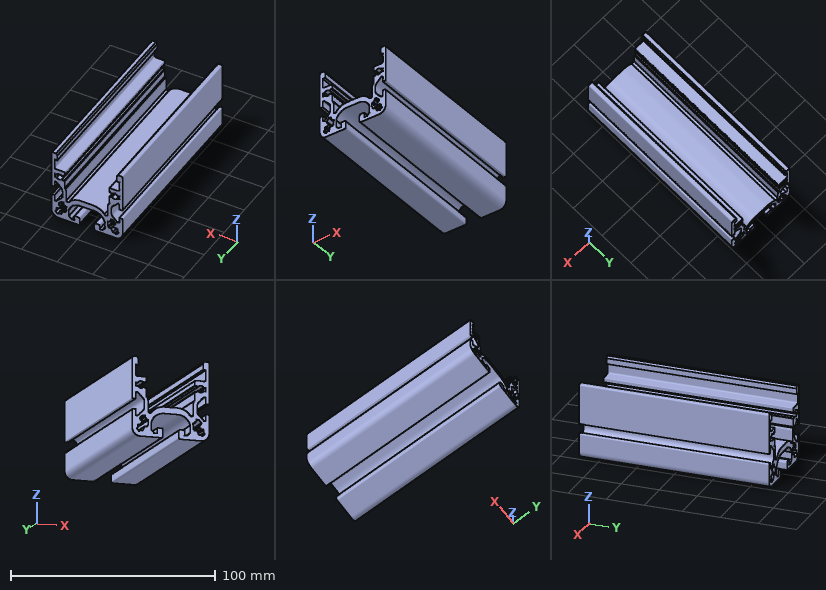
import cadquery as cq
import math

width = 40.0
height = 40.0
length = 100.0
half_width = width / 2
wall = 1.8

web_top = 15.6
web_bottom = 12.3
crown_half_width = 3.5
arch_x = half_width - crown_half_width
upper_arch_radius = 8.3
lower_arch_radius = 6.9
valley_depth = 12.0
valley_side = 12.6
channel_wall = 8.4

lip_depth = 3.3
lip_bevel_width = 0.6
lip_bevel_height = 1.2
lip_bottom = 35.8
shelf_top = 30.1
shelf_end = 7.5
step_top = 20.1
step_bottom = 18.4
step_knee = (8.0, 19.7)

screw_z = 26.0
screw_x = 4.5
screw_radius = 1.7
screw_slit_half = 0.9
throat_x = 6.0
throat_half = 1.0
mouth_half = 1.6
mouth_x = 7.0

side_slot_z = 16.1
side_mouth_half = 2.6
side_slot_half = 6.0
side_slot_depth = 6.3
side_floor_half = 2.4
side_floor_radius = 2.8

base_slot_side = 9.9
base_floor = 2.1
base_bevel = 1.5
base_lip_back = 12.9
base_lip_front = 15.9
base_lip_top = 4.8

base_radius = 4.0
lip_radius = 0.9
shelf_root_radius = 1.0
shelf_radius = 0.4
side_mouth_lower_radius = 0.6
side_mouth_upper_radius = 0.3
side_slot_radius = 0.7
base_lip_back_radius = 0.4


def prism(section):
    """Extrude a closed XZ section along the whole length, centred on Y."""
    return section.extrude(length / 2, both=True)


def polygon(points):
    return prism(cq.Workplane("XZ").polyline(points).close())


def arch_height(x, top, radius):
    """Height at x of an arch that meets the flat crown tangentially."""
    return top - radius + math.sqrt(radius**2 - (arch_x - x) ** 2)


def arch_reach(z, top, radius):
    """Left-hand x of an arch at height z."""
    return arch_x - math.sqrt(radius**2 - (z - top + radius) ** 2)


def round_corner(body, x, z, radius):
    """Round the lengthwise edge at section position (x, z)."""
    return body.edges("|Y").edges(cq.NearestToPointSelector((x, 0, z))).fillet(radius)


def half_body():
    arch_foot = arch_reach(valley_side, web_top, upper_arch_radius)
    arch_middle = (arch_foot + arch_x) / 2
    return prism(
        cq.Workplane("XZ")
        .moveTo(0, 0)
        .lineTo(half_width, 0)
        .lineTo(half_width, web_top)
        .lineTo(arch_x, web_top)
        .threePointArc(
            (arch_middle, arch_height(arch_middle, web_top, upper_arch_radius)),
            (arch_foot, valley_side),
        )
        .threePointArc(
            ((channel_wall + arch_foot) / 2, valley_depth),
            (channel_wall, valley_side),
        )
        .lineTo(channel_wall, step_bottom)
        .lineTo(*step_knee)
        .lineTo(shelf_end, step_top)
        .lineTo(shelf_end, shelf_top)
        .lineTo(wall, shelf_top)
        .lineTo(wall, lip_bottom)
        .lineTo(lip_depth, lip_bottom)
        .lineTo(lip_depth, height - lip_bevel_height)
        .lineTo(lip_depth - lip_bevel_width, height)
        .lineTo(0, height)
        .close()
    )


def base_slot():
    arch_end_z = arch_height(base_slot_side, web_bottom, lower_arch_radius)
    arch_middle = (base_slot_side + arch_x) / 2
    return prism(
        cq.Workplane("XZ")
        .moveTo(half_width, 0)
        .lineTo(half_width, web_bottom)
        .lineTo(arch_x, web_bottom)
        .threePointArc(
            (arch_middle, arch_height(arch_middle, web_bottom, lower_arch_radius)),
            (base_slot_side, arch_end_z),
        )
        .lineTo(base_slot_side, base_floor + base_bevel)
        .lineTo(base_slot_side + base_bevel, base_floor)
        .lineTo(base_lip_back, base_floor)
        .lineTo(base_lip_back, base_lip_top)
        .lineTo(base_lip_front, base_lip_top)
        .lineTo(base_lip_front, 0)
        .close()
    )


def side_slot():
    foot = side_slot_depth - (side_slot_half - side_floor_half)
    upper = [
        (0, side_mouth_half),
        (wall, side_mouth_half),
        (wall, side_slot_half),
        (foot, side_slot_half),
        (side_slot_depth, side_floor_half),
    ]
    lower = [(x, -z) for x, z in reversed(upper)]
    slot = polygon([(x, side_slot_z + z) for x, z in upper + lower])
    for side in (1, -1):
        slot = round_corner(slot, wall, side_slot_z + side * side_slot_half, side_slot_radius)
        slot = round_corner(
            slot, side_slot_depth, side_slot_z + side * side_floor_half, side_floor_radius
        )
    return slot


def screw_channel():
    upper = [
        (wall, screw_slit_half),
        (screw_x, screw_slit_half),
        (throat_x, throat_half),
        (mouth_x, mouth_half),
        (shelf_end, mouth_half),
    ]
    lower = [(x, -z) for x, z in reversed(upper)]
    slit = polygon([(x, screw_z + z) for x, z in upper + lower])
    bore = prism(cq.Workplane("XZ").center(screw_x, screw_z).circle(screw_radius))
    return slit.union(bore)


def corner_cavity():
    """Irregular hollow along the outer bottom corner."""
    inner_flank = [
        (5.6, 10.6), (6.7, 10.6), (6.7, 9.8), (7.5, 8.8), (8.4, 8.4), (8.4, 6.8),
        (8.1, 5.6), (7.7, 5.1), (6.5, 5.1), (6.0, 4.1), (5.5, 3.0), (4.2, 3.0),
    ]
    outer_flank = [
        (3.6, 2.4), (2.3, 3.7), (2.9, 4.2), (2.9, 5.6), (3.5, 6.0),
        (4.2, 6.0), (5.1, 6.6), (5.1, 7.9), (4.2, 8.3), (4.1, 9.0),
    ]
    return polygon(inner_flank + outer_flank)


half = half_body().cut(base_slot()).cut(side_slot())

rounded_corners = [
    (0, 0, base_radius),
    (0, height, lip_radius),
    (wall, shelf_top, shelf_root_radius),
    (shelf_end, shelf_top, shelf_radius),
    (0, side_slot_z + side_mouth_half, side_mouth_upper_radius),
    (0, side_slot_z - side_mouth_half, side_mouth_lower_radius),
    (base_lip_front, 0, lip_radius),
    (base_lip_front, base_lip_top, lip_radius),
    (base_lip_back, base_lip_top, base_lip_back_radius),
]
for corner_x, corner_z, corner_radius in rounded_corners:
    half = round_corner(half, corner_x, corner_z, corner_radius)

half = half.cut(screw_channel()).cut(corner_cavity())

half = half.translate((-half_width, 0, -height / 2))
result = half.union(half.mirror("YZ")).clean()